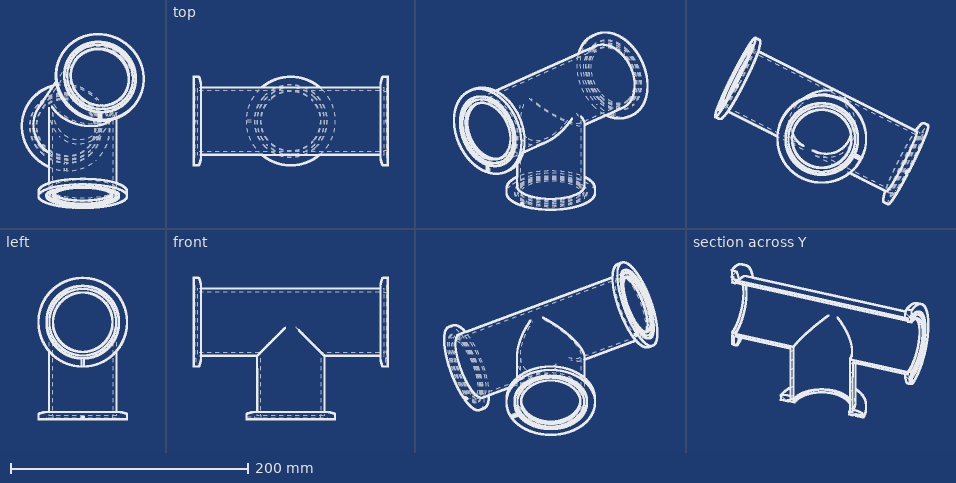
import cadquery as cq
import math

end_reach = 82.0

tube_outer_radius = 57.0 / 2
tube_inner_radius = 51.2 / 2

flange_radius = 75.0 / 2
flange_thickness = 6.3
bore_radius = 50.0 / 2
lip_thickness = 3.2
back_taper = math.radians(15)
back_flat_radius = 32.0
rim_fillet = 1.5

groove_outer_radius = 30.8
groove_floor_radius = 30.4
groove_inner_radius = 28.2
groove_depth = 1.2
land_recess = 0.4

slot_width = 2.0
slot_depth = 2.0

tube_length = end_reach - lip_thickness
rim_height = flange_thickness - (flange_radius - back_flat_radius) * math.tan(back_taper)


def make_tee():
    """Tee with full-bore branch: outer cylinders joined, then both bores cut through."""
    def run_and_branch(radius):
        run = cq.Workplane("YZ").circle(radius).extrude(tube_length, both=True)
        branch = cq.Workplane("XY").circle(radius).extrude(-tube_length)
        return run.union(branch)

    return run_and_branch(tube_outer_radius).cut(run_and_branch(tube_inner_radius))


def make_flange():
    """Flange with its sealing face on Z = 0, its back towards +Z and its slot towards -X."""
    body = (
        cq.Workplane("XZ")
        .lineTo(flange_radius, 0)
        .lineTo(flange_radius, rim_height)
        .lineTo(back_flat_radius, flange_thickness)
        .lineTo(0, flange_thickness)
        .close()
        .revolve(360, (0, 0, 0), (0, 1, 0))
    )
    body = body.edges("%CIRCLE").edges(">>Z[-2]").fillet(rim_fillet)

    bore = cq.Workplane("XY").circle(bore_radius).extrude(flange_thickness)
    socket = (
        cq.Workplane("XY", origin=(0, 0, lip_thickness))
        .circle(tube_outer_radius)
        .extrude(flange_thickness - lip_thickness)
    )
    groove = (
        cq.Workplane("XZ")
        .lineTo(0, land_recess)
        .lineTo(groove_inner_radius, land_recess)
        .lineTo(groove_floor_radius, groove_depth)
        .lineTo(groove_outer_radius, groove_depth)
        .lineTo(groove_outer_radius, 0)
        .close()
        .revolve(360, (0, 0, 0), (0, 1, 0))
    )
    slot = cq.Workplane("XY").box(
        flange_radius - groove_floor_radius, slot_width, slot_depth, centered=(False, True, False)
    ).translate((-flange_radius, 0, 0))
    return body.cut(bore).cut(socket).cut(groove).cut(slot)


tee = make_tee()

branch_flange = make_flange().translate((0, 0, -end_reach))
right_flange = branch_flange.rotate((0, 0, 0), (0, 1, 0), -90)
left_flange = right_flange.mirror("YZ")
flanges = [branch_flange, right_flange, left_flange]

result = cq.Compound.makeCompound([tee.val()] + [flange.val() for flange in flanges])